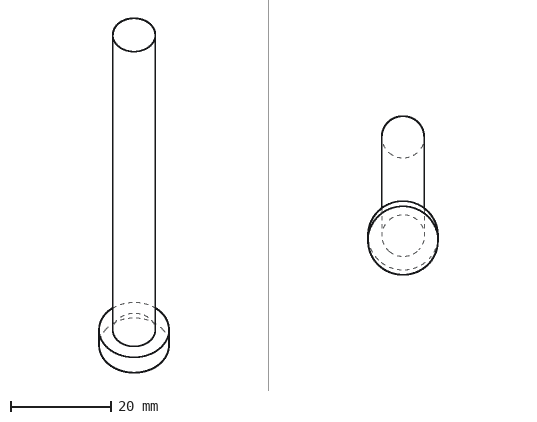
import cadquery as cq

total_length = 100.0
head_diameter = 14.0
head_height = 5.0
shaft_diameter = 8.5

head = cq.Workplane("XY").circle(head_diameter / 2).extrude(head_height)

shaft_length = total_length - head_height
result = head.faces(">Z").workplane().circle(shaft_diameter / 2).extrude(shaft_length)